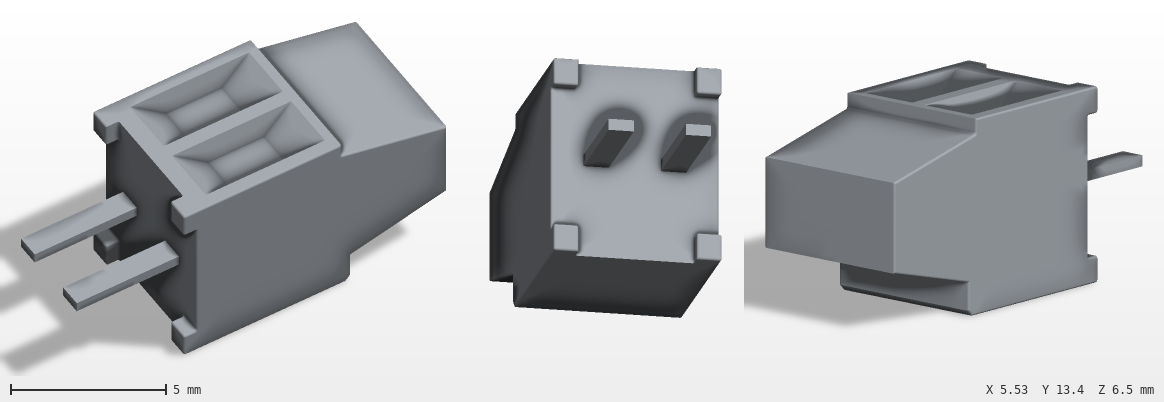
import cadquery as cq

width = 5.53
height = 6.5
overall_length = 13.4
pin_reach = 3.4
body_length = overall_length - pin_reach
standoff = 0.48
top = height / 2
bottom = -top

top_step_y = 5.99
top_step_depth = 0.51
nose_top_depth = 1.41
bottom_step_y = 6.35
bottom_step_depth = 1.14
nose_bottom_depth = 2.09
corner_chamfer = 0.2

foot_width = 0.82
foot_height = 0.88

edge_radius = 0.074

pole_pitch = 2.55
pole_positions = (-pole_pitch / 2, pole_pitch / 2)
pin_width = 0.83
pin_thickness = 0.38
pin_z = -0.01
well_width = 2.04
well_length = 4.53
well_floor_width = 1.5
well_floor_length = 2.1
well_depth = 0.76
well_y = 3.39


def edges_between(y_min, y_max, z_min, z_max, half_x):
    """Selector for the edges whose centres lie inside a box centred on X = 0."""
    return cq.selectors.BoxSelector((-half_x, y_min, z_min), (half_x, y_max, z_max))


def make_body():
    """Side profile extruded across the full width."""
    profile = [
        (standoff, bottom),
        (bottom_step_y - corner_chamfer, bottom),
        (bottom_step_y, bottom + corner_chamfer),
        (bottom_step_y, bottom + bottom_step_depth),
        (body_length, bottom + nose_bottom_depth),
        (body_length, top - nose_top_depth),
        (top_step_y, top - top_step_depth),
        (top_step_y, top),
        (standoff, top),
    ]
    return cq.Workplane("YZ").polyline(profile).close().extrude(width / 2, both=True)


def make_feet():
    """Four corner feet, each with its inner lengthwise edge rounded."""
    inner_edges = edges_between(0, standoff, bottom + edge_radius, top - edge_radius, width / 2 - edge_radius)
    return (
        cq.Workplane("XZ")
        .rect(width - foot_width, height - foot_height, forConstruction=True)
        .vertices()
        .rect(foot_width, foot_height)
        .extrude(-standoff)
        .edges("|Y")
        .edges(inner_edges)
        .fillet(edge_radius)
    )


def make_housing():
    """Body on its feet, with rounded foot roots, step root, flanks and foot tips."""
    foot_roots = edges_between(
        standoff - edge_radius,
        standoff + edge_radius,
        bottom + edge_radius,
        top - edge_radius,
        width / 2 - edge_radius,
    )
    step_root_z = top - top_step_depth
    step_root = edges_between(
        top_step_y - edge_radius,
        top_step_y + edge_radius,
        step_root_z - edge_radius,
        step_root_z + edge_radius,
        width / 2,
    )
    housing = make_body().union(make_feet())
    housing = housing.edges(foot_roots).fillet(edge_radius)
    housing = housing.edges(step_root).fillet(edge_radius)
    return housing.faces("<X or >X or <Y").edges().fillet(edge_radius)


def make_well(x):
    """Tapered rectangular recess, narrowing downwards from the top face."""
    return (
        cq.Workplane("XY", origin=(x, well_y, top))
        .rect(well_width, well_length)
        .workplane(offset=-well_depth)
        .rect(well_floor_width, well_floor_length)
        .loft(ruled=True)
    )


def make_pin(x):
    """Flat pin running from the front face to the far -Y end."""
    return (
        cq.Workplane("XZ", origin=(x, standoff, pin_z))
        .rect(pin_width, pin_thickness)
        .extrude(standoff + pin_reach)
    )


result = make_housing()
for pole_x in pole_positions:
    result = result.cut(make_well(pole_x)).union(make_pin(pole_x))